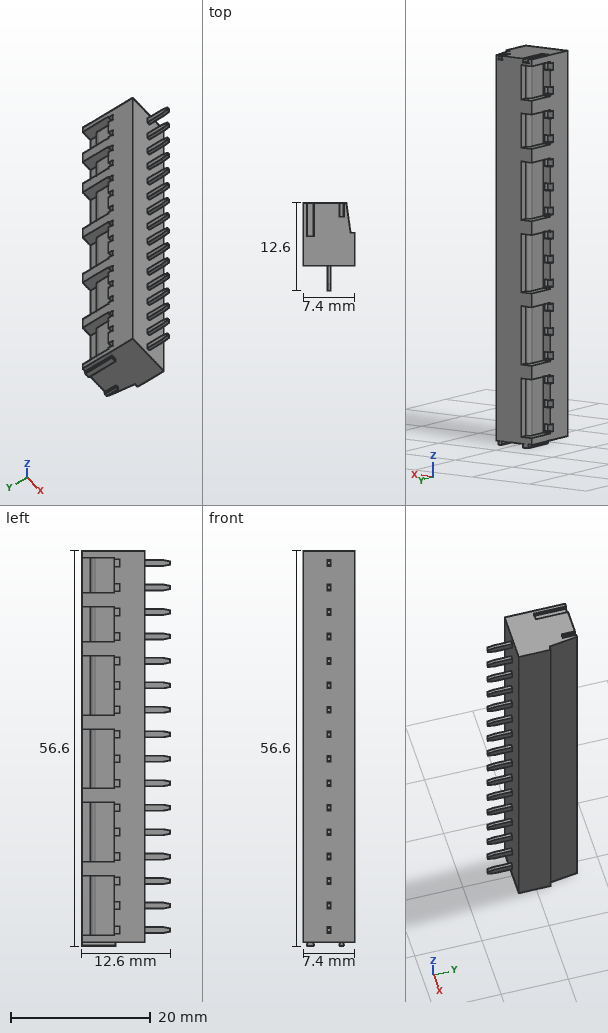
import cadquery as cq

WAYS = 16
PITCH = 3.5
LENGTH = WAYS * PITCH
GROUP_SIZES = (3, 3, 3, 3, 2, 2)

WIDTH = 7.4
DEPTH = 9.0
SHOULDER_Y = 4.75
SHOULDER_X = 6.8
BACK_X = 6.2

INNER_RIB_HALF = 1.0
END_RIB = 1.0
RECESS_DEPTH = 1.25
RECESS_LENGTH = 4.65
RECESS_FRONT_Y = DEPTH - RECESS_LENGTH
STEP_DEPTH = 1.85
STEP_LENGTH = 1.2
STEP_RADIUS = STEP_DEPTH - RECESS_DEPTH

NOTCH_LENGTH = 0.75
NOTCH_HEIGHT = 1.05
NOTCH_DEPTH = 1.0

PIN_LENGTH = 3.6
PIN_THICKNESS = 0.5
PIN_HEIGHT = 0.9
PIN_TIP_LENGTH = 1.0
PIN_TIP_HEIGHT = 0.5
PIN_X = WIDTH / 2

RAIL_HEIGHT = 0.55
RAIL_FLARE = 0.12
RAIL_LIP = 0.15
GROOVE_DEPTH = 0.6
WIDE_RAIL_X = (0.5, 1.57)
WIDE_RAIL_LENGTH = 4.8
NARROW_RAIL_X = (5.15, 5.85)
NARROW_RAIL_LENGTH = 2.0


def box(x_range, y_range, z_range):
    """Box between two limits along each axis."""
    sizes = [r[1] - r[0] for r in (x_range, y_range, z_range)]
    corner = (x_range[0], y_range[0], z_range[0])
    return cq.Workplane("XY").box(*sizes, centered=False).translate(corner)


def way_z(way):
    """Height of the middle of a way, counted from the bottom."""
    return (way + 0.5) * PITCH


def housing():
    outline = [
        (0, 0),
        (WIDTH, 0),
        (WIDTH, SHOULDER_Y),
        (SHOULDER_X, SHOULDER_Y),
        (BACK_X, DEPTH),
        (0, DEPTH),
    ]
    return cq.Workplane("XY").polyline(outline).close().extrude(LENGTH)


def recess(z_low, z_high):
    """Stepped recess whose step is rounded along Z."""
    step_y = DEPTH - STEP_LENGTH
    return (
        cq.Workplane("XY", origin=(0, 0, z_low))
        .moveTo(0, RECESS_FRONT_Y)
        .lineTo(RECESS_DEPTH, RECESS_FRONT_Y)
        .lineTo(RECESS_DEPTH, step_y - STEP_RADIUS)
        .radiusArc((STEP_DEPTH, step_y), STEP_RADIUS)
        .lineTo(STEP_DEPTH, DEPTH)
        .lineTo(0, DEPTH)
        .close()
        .extrude(z_high - z_low)
    )


def recesses():
    cut = cq.Workplane("XY")
    first_way = 0
    for size in GROUP_SIZES:
        last_way = first_way + size
        z_low = END_RIB if first_way == 0 else first_way * PITCH + INNER_RIB_HALF
        z_high = LENGTH - END_RIB if last_way == WAYS else last_way * PITCH - INNER_RIB_HALF
        cut = cut.add(recess(z_low, z_high))
        first_way = last_way
    return cut.combine()


def notch(way):
    z = way_z(way)
    return box(
        (0, NOTCH_DEPTH),
        (RECESS_FRONT_Y - NOTCH_LENGTH, RECESS_FRONT_Y),
        (z - NOTCH_HEIGHT / 2, z + NOTCH_HEIGHT / 2),
    )


def pin(way):
    """Flat pin, tapered in height towards its tip."""
    tip_y = -PIN_LENGTH
    taper_y = tip_y + PIN_TIP_LENGTH
    half = PIN_HEIGHT / 2
    tip_half = PIN_TIP_HEIGHT / 2
    outline = [
        (0, -half),
        (taper_y, -half),
        (tip_y, -tip_half),
        (tip_y, tip_half),
        (taper_y, half),
        (0, half),
    ]
    plate = cq.Workplane("YZ").polyline(outline).close().extrude(PIN_THICKNESS)
    return plate.translate((PIN_X - PIN_THICKNESS / 2, 0, way_z(way)))


def extrude_from_back(outline, length):
    """Extrude an XZ outline from the back of the housing towards -Y."""
    return cq.Workplane("XZ", origin=(0, DEPTH, 0)).polyline(outline).close().extrude(length)


def rail(x_range, length):
    """Rail that flares downwards to a chamfered lip."""
    left, right = x_range
    lip_z = RAIL_LIP - RAIL_HEIGHT
    outline = [
        (left + RAIL_FLARE, 0),
        (left, lip_z),
        (left + RAIL_FLARE, -RAIL_HEIGHT),
        (right - RAIL_FLARE, -RAIL_HEIGHT),
        (right, lip_z),
        (right - RAIL_FLARE, 0),
    ]
    return extrude_from_back(outline, length)


def groove(x_range, length):
    """Groove with a chamfered mouth above flaring side walls."""
    left, right = x_range
    waist_z = LENGTH - RAIL_LIP
    floor_z = LENGTH - GROOVE_DEPTH
    outline = [
        (left, LENGTH),
        (left + RAIL_FLARE, waist_z),
        (left, floor_z),
        (right, floor_z),
        (right - RAIL_FLARE, waist_z),
        (right, LENGTH),
    ]
    return extrude_from_back(outline, length)


result = housing().cut(recesses())
result = result.cut(groove(WIDE_RAIL_X, WIDE_RAIL_LENGTH))
result = result.cut(groove(NARROW_RAIL_X, NARROW_RAIL_LENGTH))
for way in range(WAYS):
    result = result.cut(notch(way)).union(pin(way))
result = result.union(rail(WIDE_RAIL_X, WIDE_RAIL_LENGTH))
result = result.union(rail(NARROW_RAIL_X, NARROW_RAIL_LENGTH))